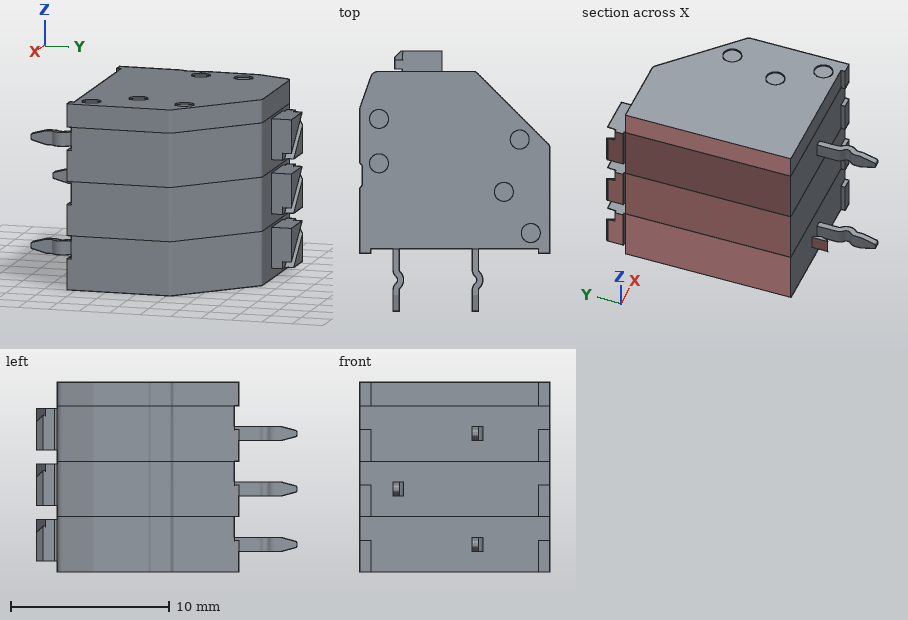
import cadquery as cq
import math

POLES = 3
PITCH = 3.5
COVER_THICKNESS = 1.5
WIDTH = 12.0

BODY_TOP = 11.2
LEFT_SLOPE_START = 8.89
LEFT_SLOPE_ANGLE = 19.5
LEFT_SLOPE_FOOT_RADIUS = 0.4
LEFT_SLOPE_HEAD_RADIUS = 0.5
WIRE_ENTRY_DROP = 4.68
WIRE_ENTRY_RADIUS = 0.3

GROOVE_CENTER = 4.635
GROOVE_MOUTH = 1.57
GROOVE_DEPTH = 0.16
GROOVE_RADIUS = 0.2

FOOT_WIDTH = 0.715
FOOT_HEIGHT = 0.28
FOOT_LENGTH = 2.0

RECESS_CENTERS = [(1.22, 8.2), (1.22, 5.4), (10.1, 6.9), (9.1, 3.6), (10.8, 1.0)]
RECESS_DIAMETER = 1.2
RECESS_DEPTH = 0.1

BUTTON_LEFT = 2.2
BUTTON_RIGHT = 5.2
BUTTON_TOP = 12.5
BUTTON_BASE_Z = 0.7
BUTTON_LENGTH = 2.64
BUTTON_CHAMFER = 0.42
LIP_OVERHANG = 0.48
LIP_GAP = 0.15
SLOT_MOUTH_WIDTH = 0.7
SLOT_FLOOR_WIDTH = 0.64
SLOT_DEPTH = 0.58

PIN_THICKNESS = 0.4
PIN_WIDTH = 0.9
PIN_TIP = -3.95
PIN_LEFT_X = 2.1
PIN_ROW_SPACING = 5.0
BEND_CENTER = -1.96
BEND_OFFSET = 0.28
BEND_ANGLE = 48.0
BEND_FOOT_RADIUS = 0.15
TAPER_START = -2.94
TIP_WIDTH = 0.36
TIP_RADIUS = 0.13


def edges_at(solid, x, y):
    """Edges along Z that pass through the point (x, y)."""
    reach = 0.01
    height = POLES * PITCH + COVER_THICKNESS
    box = cq.selectors.BoxSelector((x - reach, y - reach, 0), (x + reach, y + reach, height))
    return solid.edges("|Z").edges(box)


def profile_prism(z_base, length):
    """Slice of the rounded block outline, without feet or button."""
    left_rise = BODY_TOP - LEFT_SLOPE_START
    left_head_x = left_rise * math.tan(math.radians(LEFT_SLOPE_ANGLE))
    groove_low = GROOVE_CENTER - GROOVE_MOUTH / 2
    groove_high = GROOVE_CENTER + GROOVE_MOUTH / 2
    entry_y = BODY_TOP - WIRE_ENTRY_DROP
    entry_x = WIDTH - WIRE_ENTRY_DROP
    groove = [
        (0, groove_high),
        (GROOVE_DEPTH, groove_high - GROOVE_DEPTH),
        (GROOVE_DEPTH, groove_low + GROOVE_DEPTH),
        (0, groove_low),
    ]
    left_foot = (0, LEFT_SLOPE_START)
    left_head = (left_head_x, BODY_TOP)
    entry_head = (entry_x, BODY_TOP)
    entry_foot = (WIDTH, entry_y)
    outline = [(0, 0), (WIDTH, 0), entry_foot, entry_head, left_head, left_foot, *groove]
    body = cq.Workplane("XY").workplane(offset=z_base).polyline(outline).close().extrude(length)
    rounding = {
        left_foot: LEFT_SLOPE_FOOT_RADIUS,
        left_head: LEFT_SLOPE_HEAD_RADIUS,
        entry_head: WIRE_ENTRY_RADIUS,
        entry_foot: WIRE_ENTRY_RADIUS,
    }
    rounding.update({corner: GROOVE_RADIUS for corner in groove})
    for (x, y), radius in rounding.items():
        body = edges_at(body, x, y).fillet(radius)
    return body


def feet(z_base, length):
    """The two stand-off feet that project below the wiring face."""
    foot = cq.Workplane("XY").box(FOOT_WIDTH, FOOT_HEIGHT, length, centered=False)
    left = foot.translate((0, -FOOT_HEIGHT, z_base))
    right = foot.translate((WIDTH - FOOT_WIDTH, -FOOT_HEIGHT, z_base))
    return left.add(right).combine()


def button(z_base):
    """Push button with a lip on its -X side and a screwdriver slot in its end."""
    stem_left = BUTTON_LEFT + LIP_OVERHANG
    lip_bottom = BODY_TOP + LIP_GAP
    outline = [
        (stem_left, BODY_TOP),
        (BUTTON_RIGHT, BODY_TOP),
        (BUTTON_RIGHT, BUTTON_TOP),
        (BUTTON_LEFT + BUTTON_CHAMFER, BUTTON_TOP),
        (BUTTON_LEFT, BUTTON_TOP - BUTTON_CHAMFER),
        (BUTTON_LEFT, lip_bottom),
        (stem_left, lip_bottom),
    ]
    z_bottom = z_base + BUTTON_BASE_Z
    blank = cq.Workplane("XY").workplane(offset=z_bottom).polyline(outline).close().extrude(BUTTON_LENGTH)
    button_width = BUTTON_RIGHT - BUTTON_LEFT
    slot_length = 2 * math.hypot(button_width, BUTTON_LENGTH)
    slot_angle = math.degrees(math.atan2(BUTTON_LENGTH, button_width))
    slot_section = [
        (0, -SLOT_MOUTH_WIDTH / 2),
        (0, SLOT_MOUTH_WIDTH / 2),
        (-SLOT_DEPTH, SLOT_FLOOR_WIDTH / 2),
        (-SLOT_DEPTH, -SLOT_FLOOR_WIDTH / 2),
    ]
    slot = (
        cq.Workplane("YZ")
        .polyline(slot_section)
        .close()
        .extrude(slot_length / 2, both=True)
        .rotate((0, 0, 0), (0, 1, 0), slot_angle)
        .translate((BUTTON_LEFT + button_width / 2, BUTTON_TOP, z_bottom + BUTTON_LENGTH / 2))
    )
    return blank.cut(slot)


def module(z_base):
    """One pole: a slice of the block with its two feet and its push button."""
    block = profile_prism(z_base, PITCH)
    return block.union(feet(z_base, FOOT_LENGTH)).union(button(z_base))


def cover(z_base):
    """End plate that closes the row of modules."""
    plate = profile_prism(z_base, COVER_THICKNESS).union(feet(z_base, COVER_THICKNESS))
    recesses = (
        cq.Workplane("XY")
        .workplane(offset=z_base + COVER_THICKNESS - RECESS_DEPTH)
        .pushPoints(RECESS_CENTERS)
        .circle(RECESS_DIAMETER / 2)
        .extrude(RECESS_DEPTH)
    )
    return plate.cut(recesses)


def pin(left_x, z_mid):
    """Flat solder pin with one sideways bend, tapered to a rounded tip."""
    angle = math.radians(BEND_ANGLE)
    foot_outer = BEND_FOOT_RADIUS + PIN_THICKNESS
    crest_inner = BEND_OFFSET / (1 - math.cos(angle)) - foot_outer
    crest_outer = crest_inner + PIN_THICKNESS
    right_x = left_x + PIN_THICKNESS
    half_bend = (foot_outer + crest_inner) * math.sin(angle)
    bend_top = BEND_CENTER + half_bend
    bend_bottom = BEND_CENTER - half_bend
    crest_x = left_x + BEND_OFFSET - crest_inner
    foot_x = left_x + foot_outer

    def on_crest(radius, turn):
        return crest_x + radius * math.cos(turn), BEND_CENTER + radius * math.sin(turn)

    def on_foot(radius, turn, side):
        center_y = BEND_CENTER + side * half_bend
        return foot_x - radius * math.cos(turn), center_y - side * radius * math.sin(turn)

    sheet = (
        cq.Workplane("XY")
        .moveTo(left_x, 0)
        .lineTo(left_x, bend_top)
        .threePointArc(on_foot(foot_outer, angle / 2, 1), on_foot(foot_outer, angle, 1))
        .threePointArc(on_crest(crest_inner, 0), on_crest(crest_inner, -angle))
        .threePointArc(on_foot(foot_outer, angle / 2, -1), (left_x, bend_bottom))
        .lineTo(left_x, PIN_TIP)
        .lineTo(right_x, PIN_TIP)
        .lineTo(right_x, bend_bottom)
        .threePointArc(on_foot(BEND_FOOT_RADIUS, angle / 2, -1), on_foot(BEND_FOOT_RADIUS, angle, -1))
        .threePointArc(on_crest(crest_outer, 0), on_crest(crest_outer, angle))
        .threePointArc(on_foot(BEND_FOOT_RADIUS, angle / 2, 1), (right_x, bend_top))
        .lineTo(right_x, 0)
        .close()
        .extrude(PIN_WIDTH)
        .translate((0, 0, z_mid - PIN_WIDTH / 2))
    )
    half_width = PIN_WIDTH / 2
    half_tip = TIP_WIDTH / 2
    blade = (
        cq.Workplane("YZ")
        .polyline(
            [
                (0, -half_width),
                (0, half_width),
                (TAPER_START, half_width),
                (PIN_TIP, half_tip),
                (PIN_TIP, -half_tip),
                (TAPER_START, -half_width),
            ]
        )
        .close()
        .extrude(WIDTH)
        .edges("|X and <Y")
        .fillet(TIP_RADIUS)
        .translate((0, 0, z_mid))
    )
    return sheet.intersect(blade)


modules = [module(pole * PITCH) for pole in range(POLES)]
end_cover = cover(POLES * PITCH)
pins = [
    pin(PIN_LEFT_X + PIN_ROW_SPACING * ((pole + 1) % 2), (pole + 0.5) * PITCH)
    for pole in range(POLES)
]

result = cq.Compound.makeCompound(
    [*[body.val() for body in modules], end_cover.val(), *[body.val() for body in pins]]
)